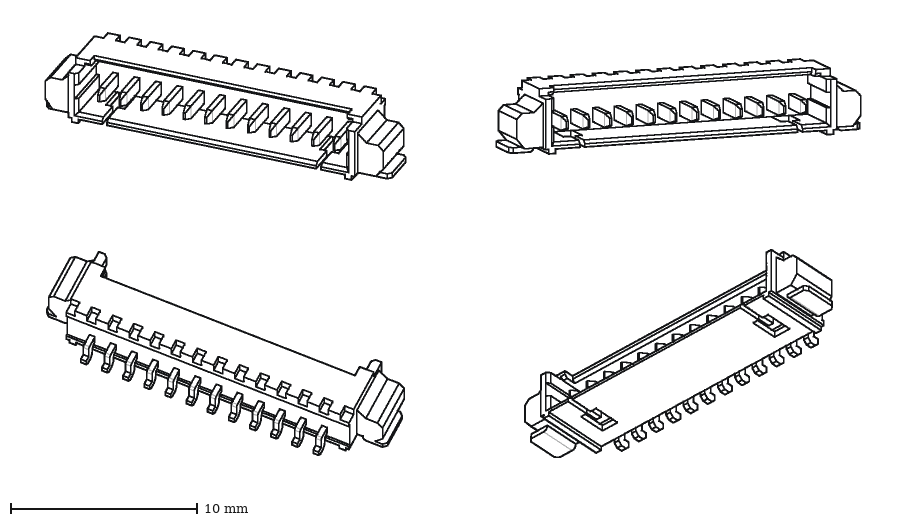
import cadquery as cq


overall_length = 20.15
overall_depth = 5.2
overall_height = 3.4

body_width = 16.72
body_depth = 4.2
body_base = 0.25
back_recess = 0.12
back_recess_base = 0.55
back_recess_top = 2.54

cavity_width = 15.64
cavity_depth = 2.98
cavity_floor = 0.6
cavity_roof = 3.0
mouth_chamfer = 0.18
roof_chamfer = 0.18

roof_end_front = 0.99
roof_middle_front = 1.6
roof_middle_width = 15.03

groove_base = 1.45
groove_top = 2.3

slot_width = 0.28
opening_width = 1.09
opening_front = 1.47
opening_reach = 0.2
opening_back = cavity_depth + opening_reach

notch_width = 0.52
notch_depth = 0.6
notch_base = 2.9

rail_width = 0.38
rail_center = 7.98

pin_count = 12
pin_pitch = 1.25
pin_width = 0.32
pin_height = 0.77
pin_center_height = 1.4
pin_shoulder = 1.19
pin_tip = 0.66
pin_tip_width = 0.1
pin_tip_height = 0.38
tail_arm_base = 0.9
tail_arm_top = 1.4
tail_leg_front = 4.4
tail_leg_back = 4.88
tail_bend_radius = 0.28
tail_foot_top = 0.55
tail_corner_radius = 0.12
tail_chamfer = 0.22

wing_front = 0.38
wing_back = 3.16
wing_base = 0.3
wing_outer = 9.87
wing_root_top = 2.72
wing_top = 2.24
wing_slope_end = 8.89
wing_top_bevel = 0.3
wing_bottom_outer = 9.43
wing_bottom_bevel_top = 0.85
tab_front = 0.89
tab_inner = 8.7
tab_bend_radius = 0.26
tab_corner = 0.2

overlap = 0.2
half_length = overall_length / 2
half_body = body_width / 2
pin_positions = [(i - (pin_count - 1) / 2) * pin_pitch for i in range(pin_count)]
slot_center = pin_positions[-1] - pin_pitch / 2


def block(x_range, y_range, z_range):
    """Axis-aligned box from its lower and upper limits."""
    x0, x1 = x_range
    y0, y1 = y_range
    z0, z1 = z_range
    return cq.Workplane("XY").box(x1 - x0, y1 - y0, z1 - z0, centered=False).translate((x0, y0, z0))


def centered_block(x_center, width, y_range, z_range):
    """Axis-aligned box placed by the middle of its width."""
    return block((x_center - width / 2, x_center + width / 2), y_range, z_range)


def side_profile(points, width):
    """Outline of (y, z) points, extruded along X about X = 0."""
    return cq.Workplane("YZ").polyline(points).close().extrude(width / 2, both=True)


def both_ends(shape):
    """The shape joined with its mirror image at the other end."""
    return shape.union(shape.mirror("YZ"))


def make_shell():
    shell = centered_block(0, body_width, (0, body_depth), (body_base, overall_height))
    relief = centered_block(
        0, body_width, (body_depth - back_recess, body_depth), (back_recess_base, back_recess_top)
    )
    return shell.cut(relief)


def make_cavity():
    cavity = centered_block(0, cavity_width, (0, cavity_depth), (cavity_floor, cavity_roof))
    over_mouth = (cavity_roof, overall_height)
    cavity = cavity.union(centered_block(0, body_width, (0, roof_end_front), over_mouth))
    cavity = cavity.union(centered_block(0, roof_middle_width, (0, roof_middle_front), over_mouth))
    for edge, width in ((roof_end_front, cavity_width), (roof_middle_front, roof_middle_width)):
        bevel = [
            (edge, cavity_roof),
            (edge, cavity_roof + roof_chamfer),
            (edge + roof_chamfer, cavity_roof),
        ]
        cavity = cavity.union(side_profile(bevel, width))
    mouth_width = cavity_width + 2 * mouth_chamfer
    mouth_height = cavity_roof - cavity_floor
    mouth = (
        cq.Workplane("XZ")
        .center(0, (cavity_floor + cavity_roof) / 2 - mouth_chamfer / 2)
        .rect(mouth_width, mouth_height + mouth_chamfer)
        .workplane(offset=-mouth_chamfer)
        .center(0, mouth_chamfer / 2)
        .rect(cavity_width, mouth_height)
        .loft(ruled=True)
    )
    cavity = cavity.union(mouth)
    grooves = centered_block(0, mouth_width, (0, cavity_depth), (groove_base, groove_top))
    return cavity.union(grooves)


def make_floor_opening():
    through_floor = (body_base, cavity_floor)
    slot = centered_block(slot_center, slot_width, (0, opening_back), through_floor)
    opening = centered_block(slot_center, opening_width, (opening_front, opening_back), through_floor)
    return both_ends(slot.union(opening))


def make_notches():
    y_range = (body_depth - notch_depth, body_depth)
    z_range = (notch_base, overall_height)
    notches = both_ends(block((half_body - notch_width, half_body), y_range, z_range))
    for x in pin_positions:
        notches = notches.union(centered_block(x, notch_width, y_range, z_range))
    return notches


def make_rails():
    return both_ends(centered_block(rail_center, rail_width, (0, body_depth), (0, body_base)))


def make_pin():
    blade = centered_block(
        0,
        pin_width,
        (pin_shoulder, cavity_depth + overlap),
        (pin_center_height - pin_height / 2, pin_center_height + pin_height / 2),
    )
    point = (
        cq.Workplane("XZ", origin=(0, pin_shoulder, pin_center_height))
        .rect(pin_width, pin_height)
        .workplane(offset=pin_shoulder - pin_tip)
        .rect(pin_tip_width, pin_tip_height)
        .loft(ruled=True)
    )
    arm_start = body_depth - back_recess - overlap
    tail = (
        cq.Workplane("YZ")
        .moveTo(arm_start, tail_arm_base)
        .lineTo(arm_start, tail_arm_top)
        .lineTo(tail_leg_back - tail_corner_radius, tail_arm_top)
        .radiusArc((tail_leg_back, tail_arm_top - tail_corner_radius), tail_corner_radius)
        .lineTo(tail_leg_back, tail_foot_top)
        .lineTo(overall_depth, tail_foot_top)
        .lineTo(overall_depth, tail_chamfer)
        .lineTo(overall_depth - tail_chamfer, 0)
        .lineTo(tail_leg_front + tail_chamfer, 0)
        .lineTo(tail_leg_front, tail_chamfer)
        .lineTo(tail_leg_front, tail_arm_base - tail_bend_radius)
        .radiusArc((tail_leg_front - tail_bend_radius, tail_arm_base), -tail_bend_radius)
        .close()
        .extrude(pin_width / 2, both=True)
    )
    return blade.union(point).union(tail)


def make_wings():
    outline = [
        (half_body - overlap, wing_base),
        (wing_bottom_outer, wing_base),
        (wing_outer, wing_bottom_bevel_top),
        (wing_outer, wing_top - wing_top_bevel),
        (wing_outer - wing_top_bevel, wing_top),
        (wing_slope_end, wing_top),
        (half_body, wing_root_top),
        (half_body - overlap, wing_root_top),
    ]
    wing = (
        cq.Workplane("XZ", origin=(0, wing_front, 0))
        .polyline(outline)
        .close()
        .extrude(wing_front - wing_back)
    )
    return both_ends(wing)


def make_tabs():
    tab = block((tab_inner, half_length), (tab_front, wing_back), (0, wing_base))
    tab = tab.edges("|Z and >X").chamfer(tab_corner)
    tab = tab.edges("|Y and <X and <Z").fillet(tab_bend_radius)
    return both_ends(tab)


housing = make_shell().cut(make_cavity()).cut(make_floor_opening()).cut(make_notches())
result = housing.union(make_rails()).union(make_wings()).union(make_tabs())
pin = make_pin()
for x in pin_positions:
    result = result.union(pin.translate((x, 0, 0)))